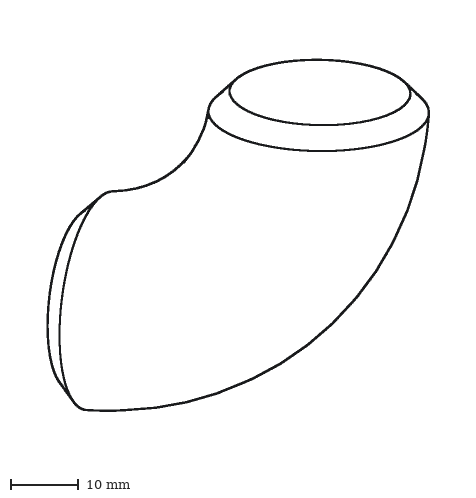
import cadquery as cq

BEND_RADIUS = 38.55
OUTER_RADIUS = 16.2
BORE_RADIUS = 13.35
BEVEL_DEPTH = 3.05
END_SETBACK = 0.9

WALL = OUTER_RADIUS - BORE_RADIUS
BEND_ANGLE = 90 - 2 * END_SETBACK
Y_AXIS_START = (0, 0, 0)
Y_AXIS_END = (0, 1, 0)


def bent_pipe():
    """Tube swept around the Y axis, from the +X end down to the -Z end."""
    return (
        cq.Workplane("XY")
        .center(BEND_RADIUS, 0)
        .circle(OUTER_RADIUS)
        .circle(BORE_RADIUS)
        .revolve(BEND_ANGLE, (-BEND_RADIUS, 0), (-BEND_RADIUS, 1))
        .rotate(Y_AXIS_START, Y_AXIS_END, END_SETBACK)
    )


def bevel_cutter():
    """Ring with its flat side on the XY plane, sloping from the bore past the outer wall."""
    overshoot = 2
    rim_radius = BORE_RADIUS + overshoot * WALL
    return (
        cq.Workplane("XZ")
        .moveTo(BORE_RADIUS, 0)
        .lineTo(rim_radius, 0)
        .lineTo(rim_radius, -overshoot * BEVEL_DEPTH)
        .close()
        .revolve(360, (0, 0), (0, 1))
        .translate((BEND_RADIUS, 0, 0))
    )


top_cutter = bevel_cutter().rotate(Y_AXIS_START, Y_AXIS_END, END_SETBACK)

side_cutter = (
    bevel_cutter()
    .mirror("XY")
    .rotate(Y_AXIS_START, Y_AXIS_END, 90 - END_SETBACK)
)

result = bent_pipe().cut(top_cutter).cut(side_cutter)